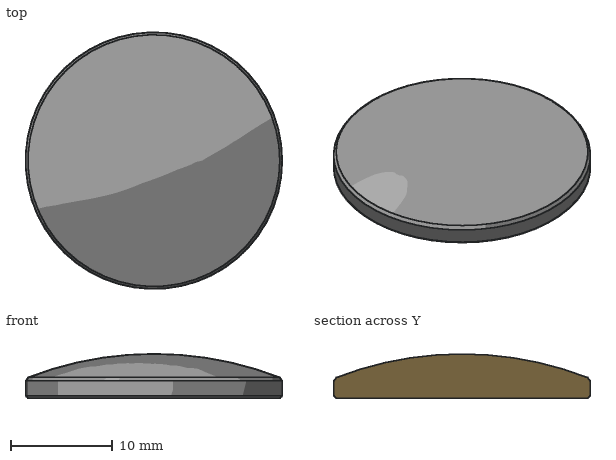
import cadquery as cq

lens_radius = 12.7
center_thickness = 4.42
bevel = 0.25
bottom_bevel_height = 0.25
top_bevel_height = 0.35
dome_base_height = 2.08

dome_rim_radius = lens_radius - bevel
dome_rise = center_thickness - dome_base_height
sphere_radius = (dome_rim_radius**2 + dome_rise**2) / (2 * dome_rise)
mid_radius = dome_rim_radius / 2
mid_height = center_thickness - sphere_radius + (sphere_radius**2 - mid_radius**2) ** 0.5

half_section = (
    cq.Workplane("XZ")
    .lineTo(lens_radius - bevel, 0)
    .lineTo(lens_radius, bottom_bevel_height)
    .lineTo(lens_radius, dome_base_height - top_bevel_height)
    .lineTo(dome_rim_radius, dome_base_height)
    .threePointArc((mid_radius, mid_height), (0, center_thickness))
    .close()
)

result = half_section.revolve(360, (0, 0, 0), (0, 1, 0))